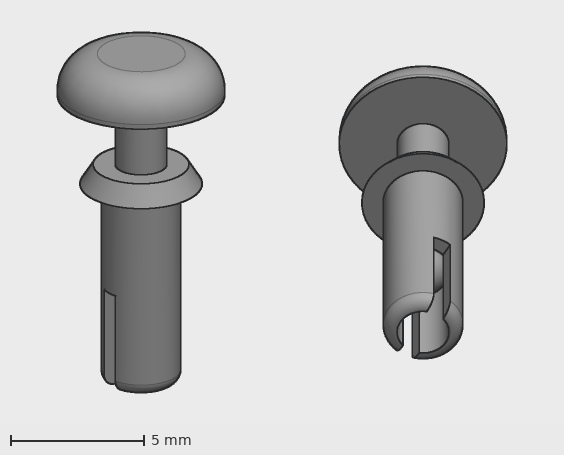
import cadquery as cq


head_diameter = 6.3
head_radius = head_diameter / 2
head_height = 1.7
head_rounding = 1.5
pin_diameter = 1.95
pin_radius = pin_diameter / 2
head_top_z = 5.35
head_underside_z = head_top_z - head_height
pin_tip_z = -5.145

collar_top_diameter = 3.6
collar_bottom_diameter = 4.6
collar_height = 0.8
shank_diameter = 3.0
shank_length = 8.1
shank_end_rounding = 0.5
slot_width = 0.7
slot_length = 4.0


def make_pin():
    """Domed head on a straight stem with a hemispherical tip."""
    tip_center_z = pin_tip_z + pin_radius
    shoulder_z = head_top_z - head_rounding
    return (
        cq.Workplane("XZ")
        .moveTo(0, pin_tip_z)
        .radiusArc((pin_radius, tip_center_z), -pin_radius)
        .lineTo(pin_radius, head_underside_z)
        .lineTo(head_radius, head_underside_z)
        .lineTo(head_radius, shoulder_z)
        .radiusArc((head_radius - head_rounding, head_top_z), -head_rounding)
        .lineTo(0, head_top_z)
        .close()
        .revolve(360, (0, 0), (0, 1))
    )


def make_sleeve():
    """Bored shank with a conical collar on top and a slot across its lower end."""
    collar = cq.Workplane("XY").add(
        cq.Solid.makeCone(collar_bottom_diameter / 2, collar_top_diameter / 2, collar_height)
    )
    shank = (
        cq.Workplane("XY")
        .circle(shank_diameter / 2)
        .extrude(-shank_length)
        .faces("<Z")
        .edges()
        .fillet(shank_end_rounding)
    )
    bore = (
        cq.Workplane("XY", origin=(0, 0, -shank_length))
        .circle(pin_radius)
        .extrude(shank_length + collar_height)
    )
    slot = cq.Workplane("XY", origin=(0, 0, -shank_length)).box(
        slot_width, shank_diameter, slot_length, centered=(True, True, False)
    )
    return shank.union(collar).cut(bore).cut(slot)


pin = make_pin()
sleeve = make_sleeve()

result = cq.Compound.makeCompound([pin.val(), sleeve.solids().val()])